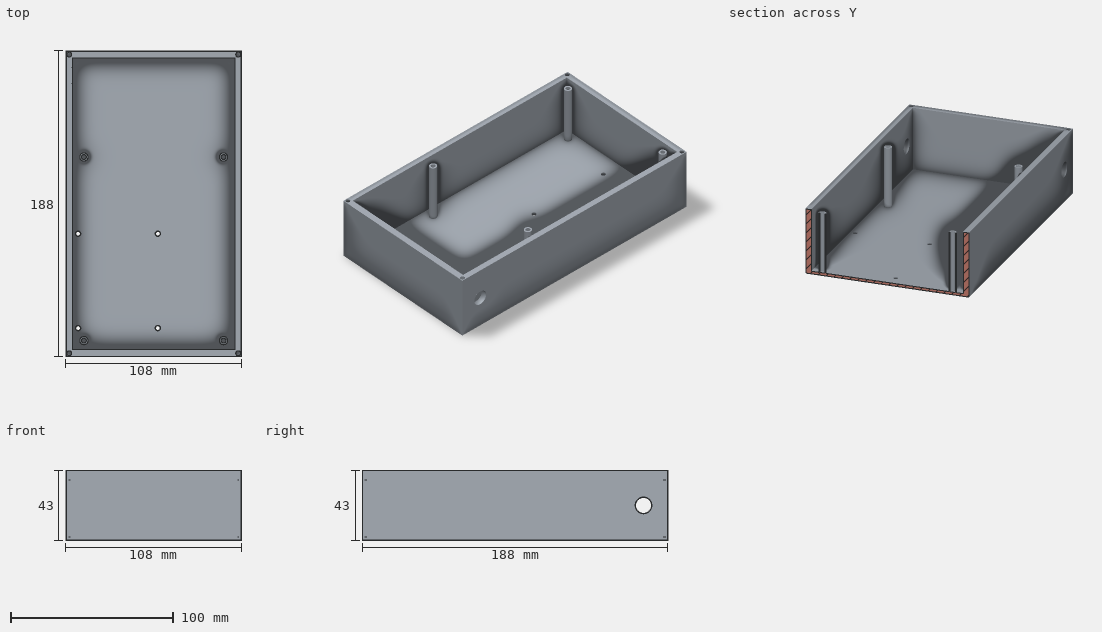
import cadquery as cq

length = 188.0
width = 108.0
height = 43.0
side_wall = 4.0
end_wall = 4.3
floor = 2.0

screw_diameter = 3.0
screw_inset_x = side_wall / 2
screw_inset_y = 2.0
rim_screw_depth = 6.0
base_screw_depth = 2.0

post_diameter = 5.0
post_bore = 3.0
post_height = 39.7
post_spacing_x = 86.0
post_spacing_y = 113.0
post_center_x = 0.0
post_center_y = -27.6

mount_diameter = 3.0
mount_spacing_x = 49.0
mount_spacing_y = 58.0
mount_center_x = -22.0
mount_center_y = -47.4

cable_diameter = 10.0
cable_end_offset = 15.0


def rectangle_points(spacing_x, spacing_y, center_x=0.0, center_y=0.0):
    """Corners of a rectangle with the given spacing and center."""
    return [
        (center_x + sx * spacing_x / 2, center_y + sy * spacing_y / 2)
        for sx in (-1, 1)
        for sy in (-1, 1)
    ]


def cylinders(points, diameter, bottom, tall):
    """Vertical cylinders standing at the given points."""
    return cq.Workplane("XY", origin=(0, 0, bottom)).pushPoints(points).circle(diameter / 2).extrude(tall)


post_points = rectangle_points(post_spacing_x, post_spacing_y, post_center_x, post_center_y)
mount_points = rectangle_points(mount_spacing_x, mount_spacing_y, mount_center_x, mount_center_y)
screw_points = rectangle_points(width - 2 * screw_inset_x, length - 2 * screw_inset_y)

box = cq.Workplane("XY").box(width, length, height, centered=(True, True, False))
cavity = (
    cq.Workplane("XY", origin=(0, 0, floor))
    .rect(width - 2 * side_wall, length - 2 * end_wall)
    .extrude(height)
)
posts = cylinders(post_points, post_diameter, floor, post_height)
post_bores = cylinders(post_points, post_bore, floor, post_height)
mount_holes = cylinders(mount_points, mount_diameter, 0, floor)
rim_screw_holes = cylinders(screw_points, screw_diameter, height - rim_screw_depth, rim_screw_depth)
base_screw_holes = cylinders(screw_points, screw_diameter, 0, base_screw_depth)
cable_holes = (
    cq.Workplane("YZ", origin=(-width / 2, length / 2 - cable_end_offset, height / 2))
    .circle(cable_diameter / 2)
    .extrude(width)
)

result = (
    box.cut(cavity)
    .union(posts)
    .cut(post_bores)
    .cut(mount_holes)
    .cut(rim_screw_holes)
    .cut(base_screw_holes)
    .cut(cable_holes)
)